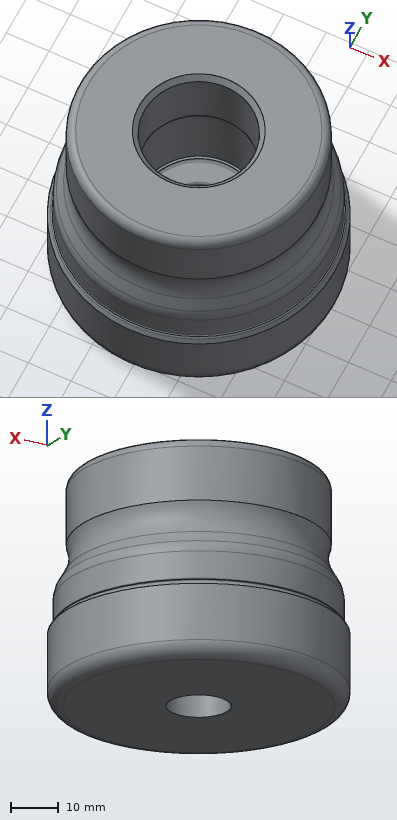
import cadquery as cq
import math

total_height = 49.86
base_radius = 31.75
shoulder_radius = 30.5
head_radius = 27.8

base_height = 17.15
base_bottom_fillet = 3.25
base_cone_start = 15.8
base_cone_angle = math.radians(35)
base_lip_radius = 0.95
base_hole_radius = 6.85
base_hole_round = 0.4

head_fillet = 2.0
neck_radius = 8.3
neck_cone_angle = math.radians(30)
shoulder_top = 23.5
shoulder_round = 5.0
neck_cone_top = 28.6
foot_cove = 0.25

mouth_chamfer = 1.2
bore_radius = 12.7
flare_top = 34.9
flare_angle = math.radians(25)
chamber_radius = 13.3

recess_radius = bore_radius
recess_depth = 0.5


def arc_point(center, radius, angle):
    """Point on an arc in the (radius, height) plane."""
    return (center[0] + radius * math.cos(angle), center[1] + radius * math.sin(angle))


def make_base():
    lip_height = base_height - base_lip_radius * (1 - math.sin(base_cone_angle))
    cone_run = (lip_height - base_cone_start) * math.tan(base_cone_angle)
    lip_start = (base_radius - cone_run, lip_height)
    lip_center = (
        lip_start[0] - base_lip_radius * math.cos(base_cone_angle),
        base_height - base_lip_radius,
    )
    lip_middle_angle = (base_cone_angle + math.pi / 2) / 2
    recess_floor = base_height - recess_depth
    recess_center = (recess_radius - recess_depth, base_height)
    hole_round_center = (base_hole_radius + base_hole_round, recess_floor - base_hole_round)
    bottom_center = (base_radius - base_bottom_fillet, base_bottom_fillet)
    profile = (
        cq.Workplane("XZ")
        .moveTo(base_hole_radius, 0)
        .lineTo(bottom_center[0], 0)
        .threePointArc(
            arc_point(bottom_center, base_bottom_fillet, -math.pi / 4),
            (base_radius, base_bottom_fillet),
        )
        .lineTo(base_radius, base_cone_start)
        .lineTo(*lip_start)
        .threePointArc(
            arc_point(lip_center, base_lip_radius, lip_middle_angle),
            (lip_center[0], base_height),
        )
        .lineTo(recess_radius, base_height)
        .threePointArc(
            arc_point(recess_center, recess_depth, -math.pi / 4),
            (recess_center[0], recess_floor),
        )
        .lineTo(hole_round_center[0], recess_floor)
        .threePointArc(
            arc_point(hole_round_center, base_hole_round, 3 * math.pi / 4),
            (base_hole_radius, hole_round_center[1]),
        )
        .close()
    )
    return profile.revolve(360, (0, 0, 0), (0, 1, 0))


def make_body():
    shoulder_center = (shoulder_radius - shoulder_round, shoulder_top)
    cone_bottom = arc_point(shoulder_center, shoulder_round, neck_cone_angle)
    cone_run = (neck_cone_top - cone_bottom[1]) * math.tan(neck_cone_angle)
    cone_top = (cone_bottom[0] - cone_run, neck_cone_top)

    neck_center = (
        cone_top[0] + neck_radius * math.cos(neck_cone_angle),
        cone_top[1] + neck_radius * math.sin(neck_cone_angle),
    )
    neck_rise = math.sqrt(neck_radius**2 - (neck_center[0] - head_radius) ** 2)
    neck_end = (head_radius, neck_center[1] + neck_rise)

    head_center = (head_radius - head_fillet, total_height - head_fillet)
    cove_center = (shoulder_radius + foot_cove, base_height + foot_cove)
    mouth_bottom = total_height - mouth_chamfer
    flare_bottom = flare_top - (chamber_radius - bore_radius) / math.tan(flare_angle)

    profile = (
        cq.Workplane("XZ")
        .moveTo(chamber_radius, base_height)
        .lineTo(cove_center[0], base_height)
        .threePointArc(
            arc_point(cove_center, foot_cove, -3 * math.pi / 4),
            (shoulder_radius, cove_center[1]),
        )
        .lineTo(shoulder_radius, shoulder_top)
        .threePointArc(
            arc_point(shoulder_center, shoulder_round, neck_cone_angle / 2),
            cone_bottom,
        )
        .lineTo(*cone_top)
        .threePointArc((neck_center[0] - neck_radius, neck_center[1]), neck_end)
        .lineTo(head_radius, head_center[1])
        .threePointArc(
            arc_point(head_center, head_fillet, math.pi / 4),
            (head_center[0], total_height),
        )
        .lineTo(bore_radius + mouth_chamfer, total_height)
        .lineTo(bore_radius, mouth_bottom)
        .lineTo(bore_radius, flare_top)
        .lineTo(chamber_radius, flare_bottom)
        .close()
    )
    return profile.revolve(360, (0, 0, 0), (0, 1, 0))


base = make_base()
body = make_body()
result = cq.Compound.makeCompound([base.val(), body.val()])